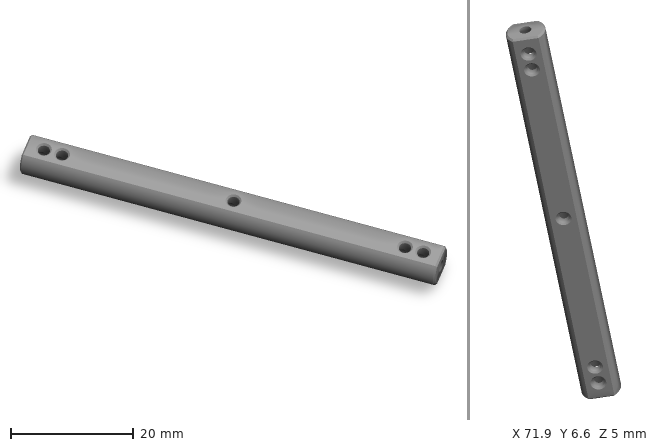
import cadquery as cq

length = 71.88
rod_diameter = 6.6
height_over_flats = 5.0
end_chamfer = 0.3

bore_diameter = 2.0

cross_hole_diameter = 2.0
countersink_diameter = 2.6
outer_hole_offset = 32.82
inner_hole_offset = 29.67
cross_hole_positions = (
    -outer_hole_offset,
    -inner_hole_offset,
    0.0,
    inner_hole_offset,
    outer_hole_offset,
)


def make_bar():
    """Flatted rod, centred on the origin, with chamfered end faces."""
    rod = cq.Workplane("YZ").circle(rod_diameter / 2).extrude(length / 2, both=True)
    envelope = cq.Workplane("XY").box(length, rod_diameter, height_over_flats)
    return rod.intersect(envelope).faces("<X or >X").chamfer(end_chamfer)


def make_bore():
    """Cylinder that opens the bar from end to end."""
    return cq.Workplane("YZ").circle(bore_diameter / 2).extrude(length / 2, both=True)


def make_cross_hole(x):
    """Vertical through hole at x, countersunk at 90 degrees from both flats."""
    half_height = height_over_flats / 2
    hole_radius = cross_hole_diameter / 2
    sink_radius = countersink_diameter / 2
    sink_bottom = half_height - (sink_radius - hole_radius)
    half_profile = [
        (0, -half_height),
        (sink_radius, -half_height),
        (hole_radius, -sink_bottom),
        (hole_radius, sink_bottom),
        (sink_radius, half_height),
        (0, half_height),
    ]
    cutter = cq.Workplane("XZ").polyline(half_profile).close().revolve(360, (0, 0), (0, 1))
    return cutter.translate((x, 0, 0))


result = make_bar().cut(make_bore())
for hole_x in cross_hole_positions:
    result = result.cut(make_cross_hole(hole_x))